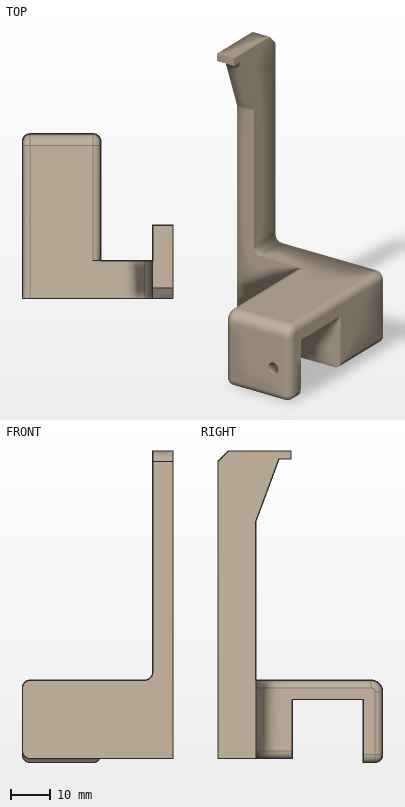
import cadquery as cq

width = 38.4
depth = 42.0
height = 79.4

saddle_width = 20.0
saddle_height = 21.0
wall = 5.0
block_depth = 19.0
block_lift = 1.0
rear_top_radius = 3.0
edge_radius = 2.0

arm_depth = 9.7
upright_thickness = 5.25
inner_corner_radius = 2.0
hook_reach = 18.7
hook_lip_length = 3.1
hook_lip_height = 2.1
hook_height = 18.0
tip_chamfer = 2.7

hole_diameter = 3.17
hole_x = 5.0
hole_z = 8.7

upright_x = width - upright_thickness


def block_box(length, box_depth):
    """Box at the front -X corner, from the block's underside to the top of the saddle."""
    box_height = saddle_height - block_lift
    corner = cq.Workplane("XY", origin=(0, 0, block_lift))
    return corner.box(length, box_depth, box_height, centered=False)


def make_bridge_and_leg():
    """Bridge and rear leg: a rounded slab hollowed from the front and below."""
    slab = cq.Workplane("XY").box(saddle_width, depth, saddle_height, centered=False)
    slab = slab.edges("|X and >Y and >Z").fillet(rear_top_radius)
    slab = slab.edges("|X and >Y and <Z").fillet(edge_radius)
    slab = slab.faces("<X or >X").edges("not <Y").fillet(edge_radius)
    hollow = cq.Workplane("XY").box(saddle_width, depth - wall, saddle_height - wall, centered=False)
    return slab.cut(hollow)


def make_block():
    block = block_box(saddle_width, block_depth)
    return block.edges("|Y").fillet(edge_radius)


def make_foot():
    """Bar along X under the upright, with its -X corners rounded like the block."""
    foot = block_box(width, arm_depth)
    return foot.edges("|Y and <X").fillet(edge_radius)


def make_upright():
    hook_start_z = height - hook_height
    lip_z = height - hook_lip_height
    outline = (
        cq.Workplane("YZ", origin=(upright_x, 0, 0))
        .polyline([
            (0, block_lift),
            (arm_depth, block_lift),
            (arm_depth, hook_start_z),
            (hook_reach - hook_lip_length, lip_z),
            (hook_reach, lip_z),
            (hook_reach, height),
            (tip_chamfer, height),
            (0, height - tip_chamfer),
        ])
        .close()
    )
    return outline.extrude(upright_thickness)


def make_arm():
    arm = make_foot().union(make_upright())
    corner = cq.selectors.NearestToPointSelector((upright_x, arm_depth / 2, saddle_height))
    return arm.edges("|Y").edges(corner).fillet(inner_corner_radius)


def make_leg_hole():
    return (
        cq.Workplane("XZ", origin=(hole_x, depth, hole_z))
        .circle(hole_diameter / 2)
        .extrude(wall)
    )


result = make_bridge_and_leg().union(make_block()).union(make_arm()).cut(make_leg_hole())